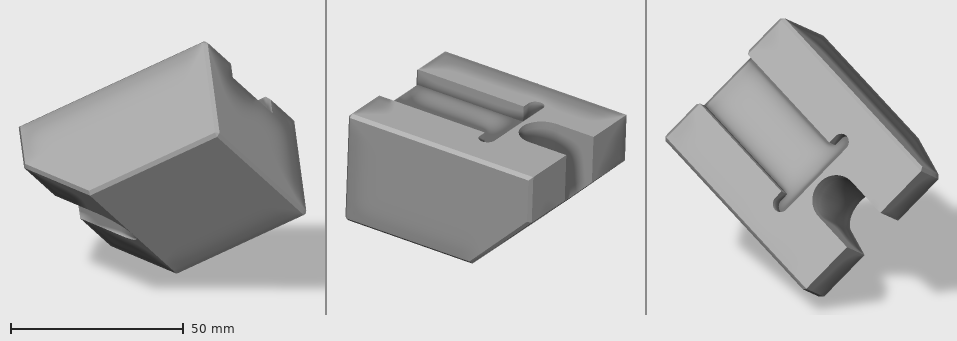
import cadquery as cq

LENGTH = 64.5
HEIGHT = 35.0
WIDTH = 50.0
CORNER_CUT = 20.0
EDGE_CHAMFER = 1.0

NOTCH_WIDTH = 14.0
NOTCH_DEPTH = 20.0

CHANNEL_WIDTH = 20.0
CHANNEL_DEPTH = 5.0

CROSS_SLOT_WIDTH = 5.0
CROSS_SLOT_LENGTH = 30.0
CROSS_SLOT_TO_REAR = 40.5
ACROSS = 90.0

TURN_ANGLE = 45.0
TIP_ANGLE = 45.0


def make_block():
    """Pentagonal side profile extruded over the width."""
    return (
        cq.Workplane("XY")
        .moveTo(CORNER_CUT, 0)
        .lineTo(LENGTH, 0)
        .lineTo(LENGTH, HEIGHT)
        .lineTo(0, HEIGHT)
        .lineTo(0, CORNER_CUT)
        .close()
        .extrude(WIDTH / 2, both=True)
    )


def top_sketch_plane(height):
    """Plane facing up at the given height: sketch x along the length, sketch y across the width."""
    return cq.Workplane(cq.Plane(origin=(0, height, 0), xDir=(1, 0, 0), normal=(0, 1, 0)))


def make_notch():
    """U-shaped cutter with its round end inside the block."""
    radius = NOTCH_WIDTH / 2
    straight_end = NOTCH_DEPTH - radius
    return (
        top_sketch_plane(0)
        .moveTo(0, -radius)
        .lineTo(straight_end, -radius)
        .threePointArc((NOTCH_DEPTH, 0), (straight_end, radius))
        .lineTo(0, radius)
        .close()
        .extrude(HEIGHT)
    )


def make_channel():
    """Cutter from the cross slot centre line to the rear end."""
    return (
        top_sketch_plane(HEIGHT)
        .center(LENGTH - CROSS_SLOT_TO_REAR / 2, 0)
        .rect(CROSS_SLOT_TO_REAR, CHANNEL_WIDTH)
        .extrude(-CHANNEL_DEPTH)
    )


def make_cross_slot():
    """Round-ended cutter that runs past both channel walls."""
    return (
        top_sketch_plane(HEIGHT)
        .center(LENGTH - CROSS_SLOT_TO_REAR, 0)
        .slot2D(CROSS_SLOT_LENGTH, CROSS_SLOT_WIDTH, ACROSS)
        .extrude(-CHANNEL_DEPTH)
    )


def chamfer_outer_edges(body):
    """Break every edge of the two sides and of the rear end, channel mouth included."""
    return body.faces("<Z or >Z or >X").edges().chamfer(EDGE_CHAMFER)


def orient(body):
    """Centre the block and set it on its skewed axes."""
    centre = (-LENGTH / 2, -HEIGHT / 2, 0)
    turned = body.translate(centre).rotate((0, 0, 0), (0, 0, 1), TURN_ANGLE)
    return turned.rotate((0, 0, 0), (1, 0, 0), TIP_ANGLE)


body = make_block().cut(make_notch()).cut(make_channel()).cut(make_cross_slot())
result = orient(chamfer_outer_edges(body))